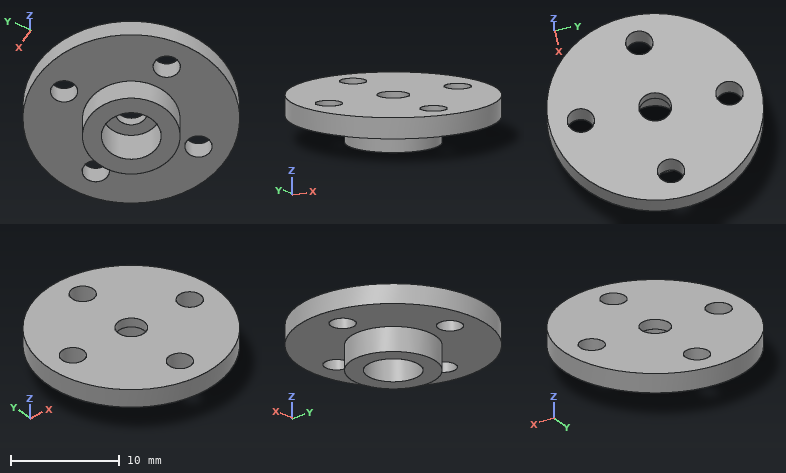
import cadquery as cq

flange_diameter = 20.0
flange_thickness = 2.0

hub_diameter = 9.0
hub_height = 2.5

bore_diameter = 3.0
bore_length = 1.0
socket_diameter = 5.5
bolt_hole_diameter = 2.5
bolt_circle_diameter = 14.0
bolt_hole_count = 4

total_height = hub_height + flange_thickness
socket_depth = total_height - bore_length

hub = cq.Workplane("XY").circle(hub_diameter / 2).extrude(hub_height)
flange = (
    cq.Workplane("XY")
    .workplane(offset=hub_height)
    .circle(flange_diameter / 2)
    .extrude(flange_thickness)
)

bore = cq.Workplane("XY").circle(bore_diameter / 2).extrude(total_height)

socket = cq.Workplane("XY").circle(socket_diameter / 2).extrude(socket_depth)

bolt_holes = (
    cq.Workplane("XY")
    .polarArray(bolt_circle_diameter / 2, 0, 360, bolt_hole_count)
    .circle(bolt_hole_diameter / 2)
    .extrude(total_height)
)

result = hub.union(flange).cut(bore).cut(socket).cut(bolt_holes)